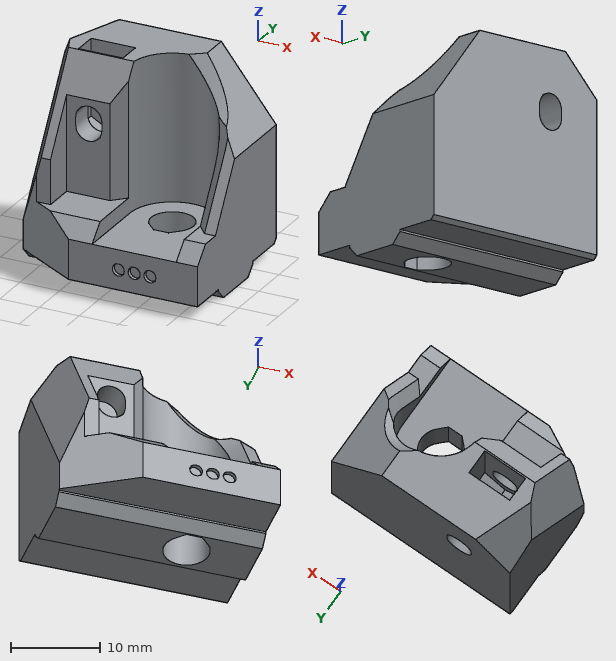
import cadquery as cq
import math

width = 24.5
depth = 19.5
height = 24.9

base_z = 1.5
shelf_z = 8.47
nose_chamfer = 2
floor_z = shelf_z - nose_chamfer
left_wall_y = 3.49
left_wall_z = 14.02
back_chamfer = 0.5
slope_angle = 58
slope_run = 1 / math.tan(math.radians(slope_angle))

key_front_y = 5.2
key_back_y = 13.77
key_wall_z = 1.25

bore_x = 16.5
bore_y = 9.45
bore_radius = 5.3
drill_radius = 2.66
drill_flat_offset = 2.85

right_wall_y = 4.43
roof_end_x = 17.58
roof_low_z = 16.04
rim_chamfer = 1.32
corner_x = 8.22
corner_y = 4.95
left_bevel_x = 3.01
left_bevel_low_z = 5.2
top_bevel_x = 4.7
top_bevel_z = 20.12
top_bevel_inner = (2.1, 12.4)

screw_x = 6.97
screw_z = 17.4
screw_diameter = 3.29
screw_length = 4.3
nut_width = 5.58
recess_y = 7.5
nut_front_y = 10.48
nut_back_y = 13.57
recess_left_x = screw_x - nut_width / 2
recess_right_x = 9.64

marker_diameter = 1.5
marker_pitch = 2
marker_z = 3.98
marker_depth = 0.5


def prism_x(points, start, end):
    """Extrude a (Y, Z) outline between two X positions."""
    return cq.Workplane("YZ").workplane(offset=start).polyline(points).close().extrude(end - start)


def prism_y(points, start, end):
    """Extrude an (X, Z) outline between two Y positions."""
    return cq.Workplane("XZ").workplane(offset=-end).polyline(points).close().extrude(end - start)


def prism_z(points, start, end):
    """Extrude an (X, Y) outline between two Z positions."""
    return cq.Workplane("XY").workplane(offset=start).polyline(points).close().extrude(end - start)


def cut_beyond(body, origin, second, third, outward):
    """Remove the material on the outward side of the plane through three points."""
    base = cq.Vector(*origin)
    normal = (cq.Vector(*second) - base).cross(cq.Vector(*third) - base)
    if normal.dot(cq.Vector(*outward)) < 0:
        normal = normal * -1
    reach = 4 * height
    cutter = cq.Workplane(cq.Plane(origin=origin, normal=normal.toTuple())).rect(reach, reach).extrude(reach)
    return body.cut(cutter)


def wall_section(front_y, slope_start_z, start, end):
    """Upright wall that rises from the base and leans back towards the top."""
    top_y = front_y + (height - slope_start_z) * slope_run
    outline = [(front_y, floor_z), (front_y, slope_start_z), (top_y, height), (depth, height), (depth, floor_z)]
    return prism_x(outline, start, end)


def make_base():
    outline = [
        (0, base_z), (0, floor_z), (nose_chamfer, shelf_z), (depth, shelf_z),
        (depth, base_z + back_chamfer), (depth - back_chamfer, base_z),
        (key_back_y, base_z), (key_back_y, key_wall_z), (key_back_y - key_wall_z, 0),
        (key_front_y + key_wall_z, 0), (key_front_y, key_wall_z), (key_front_y, base_z),
    ]
    return prism_x(outline, 0, width)


def make_bore():
    bore = cq.Workplane("XY").workplane(offset=floor_z).center(bore_x, bore_y)
    bore = bore.moveTo(bore_radius, 0).threePointArc((0, bore_radius), (-bore_radius, 0))
    return bore.lineTo(-bore_radius, -bore_y).lineTo(bore_radius, -bore_y).close().extrude(height)


def make_drill():
    """Round hole with a flattened 45 degree peak towards the front."""
    tangent = drill_radius / math.sqrt(2)
    half_flat = drill_radius * math.sqrt(2) - drill_flat_offset
    drill = cq.Workplane("XY").center(bore_x, bore_y).moveTo(tangent, -tangent)
    drill = drill.threePointArc((0, drill_radius), (-tangent, -tangent))
    drill = drill.lineTo(-half_flat, -drill_flat_offset).lineTo(half_flat, -drill_flat_offset)
    return drill.close().extrude(height)


def chamfer_bore_rim(body):
    """Chamfer the bore edge along the right wall slope and the roof slope."""
    margin = 0.12
    picked = []
    for edge in body.edges().vals():
        middle = edge.positionAt(0.5)
        radial = math.hypot(middle.x - bore_x, max(middle.y - bore_y, 0))
        on_bore = abs(radial - bore_radius) < margin
        box = edge.BoundingBox()
        sloping = box.zlen > margin and box.ylen > margin
        if on_bore and sloping and middle.x > roof_end_x and box.zmin > shelf_z - margin:
            picked.append(edge)
    return body.newObject(picked).chamfer(rim_chamfer)


def make_recess():
    """Clearance in front of the screw, widening at 45 degrees into the bore."""
    bore_left_x = bore_x - bore_radius
    flare = bore_left_x - recess_right_x
    outline = [(recess_left_x, 0), (recess_left_x, recess_y), (recess_right_x, recess_y),
               (bore_left_x, recess_y + flare), (bore_left_x, 0)]
    return prism_z(outline, shelf_z, height)


def make_nut_slot():
    """Slot open at the top, with a hexagon's point as its floor."""
    half = nut_width / 2
    nut_z = screw_z - (screw_length - screw_diameter) / 2
    side_z = nut_z - half / math.sqrt(3)
    point_z = nut_z - nut_width / math.sqrt(3)
    outline = [(screw_x - half, height), (screw_x - half, side_z), (screw_x, point_z),
               (screw_x + half, side_z), (screw_x + half, height)]
    return prism_y(outline, nut_front_y, nut_back_y)


result = make_base()
result = result.union(wall_section(left_wall_y, left_wall_z, 0, bore_x))
result = result.union(wall_section(right_wall_y, shelf_z, bore_x, width))

roof_cut = [(roof_end_x, height), (width, roof_low_z), (width, height)]
result = result.cut(prism_y(roof_cut, 0, depth))

result = result.cut(make_bore())
result = chamfer_bore_rim(result)
result = result.cut(make_drill())

result = result.cut(make_recess())
screw_hole = cq.Workplane("XZ").center(screw_x, screw_z).slot2D(screw_length, screw_diameter, 90).extrude(-depth)
result = result.cut(screw_hole)
result = result.cut(make_nut_slot())

result = result.cut(prism_z([(0, 0), (corner_x, 0), (0, corner_y)], 0, height))
left_top_y = left_wall_y + (height - left_wall_z) * slope_run
result = cut_beyond(
    result,
    (left_bevel_x, left_top_y, height),
    (left_bevel_x, left_wall_y, left_wall_z),
    (0, corner_y, left_bevel_low_z),
    (-1, -1, 0),
)
result = cut_beyond(
    result,
    (0, depth, top_bevel_z),
    (top_bevel_x, depth, height),
    (*top_bevel_inner, height),
    (-1, 0, 1),
)

markers = cq.Workplane("XZ").center(bore_x, marker_z).rarray(marker_pitch, 0.25, 3, 1)
result = result.cut(markers.circle(marker_diameter / 2).extrude(-marker_depth))